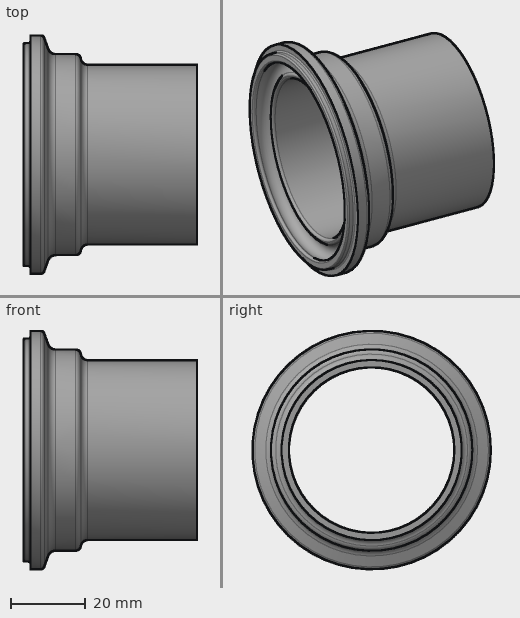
import cadquery as cq
import math

LENGTH = 46.5
TUBE_R = 48.3 / 2
BORE_R = 44.3 / 2
HUB_R = 54.0 / 2
LIP_R = 59.9 / 2
FLANGE_R = 64.0 / 2

LIP_HEIGHT = 1.85
LIP_ROUND = 0.45
LIP_ROOT_FILLET = 0.4

RIM_END_X = 4.6
RIM_ROUND = 1.0
CONE_TILT = math.radians(20)
HUB_FILLET = 2.1

HUB_END_X = 13.95
STEP_LENGTH = 3.25
HUB_ROUND = 1.5

MOUTH_ROUND = 0.6
MOUTH_R = 27.4
RIDGE_TIP_X = 3.2
RIDGE_TIP_R = 23.05
RIDGE_ROUND = 0.95
RIDGE_TILT = math.radians(60)
BORE_ROUND = 0.8

RIGHT = math.radians(90)


def arc_point(center, radius, angle):
    """Point on a circle in the X-radius plane; the angle is measured from +X."""
    return (center[0] + radius * math.cos(angle), center[1] + radius * math.sin(angle))


def add_arc(profile, center, radius, start, end):
    """Continue the profile along a circle from one angle to another."""
    middle = arc_point(center, radius, (start + end) / 2)
    return profile.threePointArc(middle, arc_point(center, radius, end))


profile = cq.Workplane("XY").moveTo(0, MOUTH_R + MOUTH_ROUND)
profile = profile.lineTo(0, LIP_R - LIP_ROUND)
profile = add_arc(profile, (LIP_ROUND, LIP_R - LIP_ROUND), LIP_ROUND, 2 * RIGHT, RIGHT)
profile = profile.lineTo(LIP_HEIGHT - LIP_ROOT_FILLET, LIP_R)
root_center = (LIP_HEIGHT - LIP_ROOT_FILLET, LIP_R + LIP_ROOT_FILLET)
profile = add_arc(profile, root_center, LIP_ROOT_FILLET, -RIGHT, 0)
profile = profile.lineTo(LIP_HEIGHT, FLANGE_R).lineTo(RIM_END_X, FLANGE_R)

rim_center = (RIM_END_X, FLANGE_R - RIM_ROUND)
cone_start = arc_point(rim_center, RIM_ROUND, CONE_TILT)
fillet_center_r = HUB_R + HUB_FILLET
cone_end_r = fillet_center_r - HUB_FILLET * math.sin(CONE_TILT)
cone_end_x = cone_start[0] + (cone_start[1] - cone_end_r) * math.tan(CONE_TILT)
fillet_center = (cone_end_x + HUB_FILLET * math.cos(CONE_TILT), fillet_center_r)
profile = add_arc(profile, rim_center, RIM_ROUND, RIGHT, CONE_TILT)
profile = profile.lineTo(cone_end_x, cone_end_r)
profile = add_arc(profile, fillet_center, HUB_FILLET, 2 * RIGHT + CONE_TILT, 3 * RIGHT)

step_height = HUB_R - TUBE_R
step_turn = 2 * math.atan2(step_height, STEP_LENGTH)
tube_fillet = STEP_LENGTH / math.sin(step_turn) - HUB_ROUND
tube_start_x = HUB_END_X + STEP_LENGTH
profile = profile.lineTo(HUB_END_X, HUB_R)
profile = add_arc(profile, (HUB_END_X, HUB_R - HUB_ROUND), HUB_ROUND, RIGHT, RIGHT - step_turn)
profile = add_arc(
    profile, (tube_start_x, TUBE_R + tube_fillet), tube_fillet, 3 * RIGHT - step_turn, 3 * RIGHT
)
profile = profile.lineTo(LENGTH, TUBE_R).lineTo(LENGTH, BORE_R)

bore_round_center = (RIDGE_TIP_X + BORE_ROUND, BORE_R + BORE_ROUND)
ridge_center = (RIDGE_TIP_X + RIDGE_ROUND, RIDGE_TIP_R)
ridge_end_angle = 2 * RIGHT - RIDGE_TILT
profile = profile.lineTo(bore_round_center[0], BORE_R)
profile = add_arc(profile, bore_round_center, BORE_ROUND, 3 * RIGHT, 2 * RIGHT)
profile = profile.lineTo(RIDGE_TIP_X, RIDGE_TIP_R)
profile = add_arc(profile, ridge_center, RIDGE_ROUND, 2 * RIGHT, ridge_end_angle)

ridge_end = arc_point(ridge_center, RIDGE_ROUND, ridge_end_angle)
mouth_center = (MOUTH_ROUND, MOUTH_R + MOUTH_ROUND)
gap_x = ridge_end[0] - mouth_center[0]
gap_r = mouth_center[1] - ridge_end[1]
slope_gap = gap_x * math.cos(RIDGE_TILT) + gap_r * math.sin(RIDGE_TILT)
trough_radius = (gap_x**2 + gap_r**2 - MOUTH_ROUND**2) / (2 * (slope_gap + MOUTH_ROUND))
trough_center = arc_point(ridge_center, RIDGE_ROUND + trough_radius, ridge_end_angle)
mouth_angle = math.atan2(mouth_center[1] - trough_center[1], mouth_center[0] - trough_center[0])
profile = add_arc(profile, trough_center, trough_radius, -RIDGE_TILT, mouth_angle)
profile = add_arc(profile, mouth_center, MOUTH_ROUND, mouth_angle - 2 * RIGHT, -2 * RIGHT)

result = profile.close().revolve(360, (0, 0, 0), (1, 0, 0))